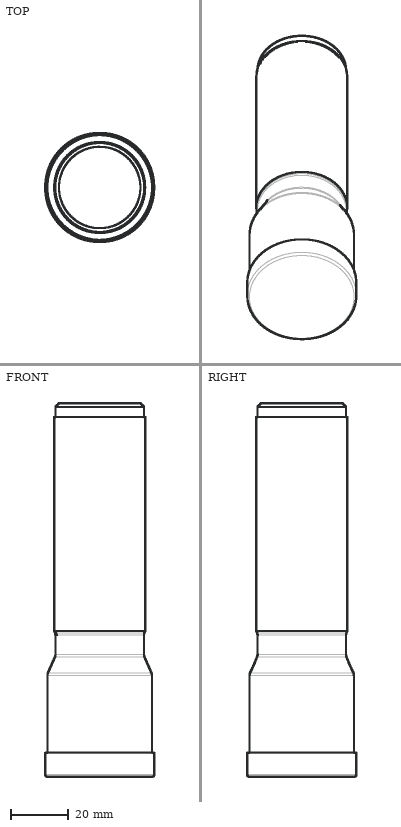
import cadquery as cq

head_diameter = 38.1
head_height = 8.4
head_bottom_radius = 0.8
head_top_radius = 0.3

overall_height = 130.18
body_diameter = 36.5
body_top = 35.8
neck_diameter = 30.9
cone_top = 42.15
cone_blend_radius = 2.0

shank_diameter = 31.75
shank_bottom = 50.75
shank_top = 125.35
shank_end_diameter = 31.0
end_chamfer = 1.3
shoulder_height = 1.0
shoulder_blend_radius = 2.0
shoulder_bottom = shank_bottom - shoulder_height

search_reach = head_diameter
search_margin = 0.1


def make_head():
    """Plain disc with rounded rims."""
    disc = cq.Workplane("XY").circle(head_diameter / 2).extrude(head_height)
    disc = disc.faces("<Z").edges().fillet(head_bottom_radius)
    return disc.faces(">Z").edges().fillet(head_top_radius)


def blend_ring(solid, height, radius):
    """Round the circular edge that lies at the given height."""
    ring = cq.selectors.BoxSelector(
        (-search_reach, -search_reach, height - search_margin),
        (search_reach, search_reach, height + search_margin),
        boundingbox=True,
    )
    return solid.edges(ring).fillet(radius)


def make_holder():
    """Turned body: cylinder, cone, neck, shank and stepped-down shank end."""
    profile = (
        cq.Workplane("XZ")
        .moveTo(0, head_height)
        .lineTo(body_diameter / 2, head_height)
        .lineTo(body_diameter / 2, body_top)
        .lineTo(neck_diameter / 2, cone_top)
        .lineTo(neck_diameter / 2, shoulder_bottom)
        .lineTo(shank_diameter / 2, shank_bottom)
        .lineTo(shank_diameter / 2, shank_top)
        .lineTo(shank_end_diameter / 2, shank_top)
        .lineTo(shank_end_diameter / 2, overall_height - end_chamfer)
        .lineTo(shank_end_diameter / 2 - end_chamfer, overall_height)
        .lineTo(0, overall_height)
        .close()
    )
    turned = profile.revolve(360, (0, 0, 0), (0, 1, 0))
    turned = blend_ring(turned, body_top, cone_blend_radius)
    turned = blend_ring(turned, cone_top, cone_blend_radius)
    return blend_ring(turned, shoulder_bottom, shoulder_blend_radius)


head = make_head()
holder = make_holder()

result = cq.Compound.makeCompound([head.val(), holder.val()])